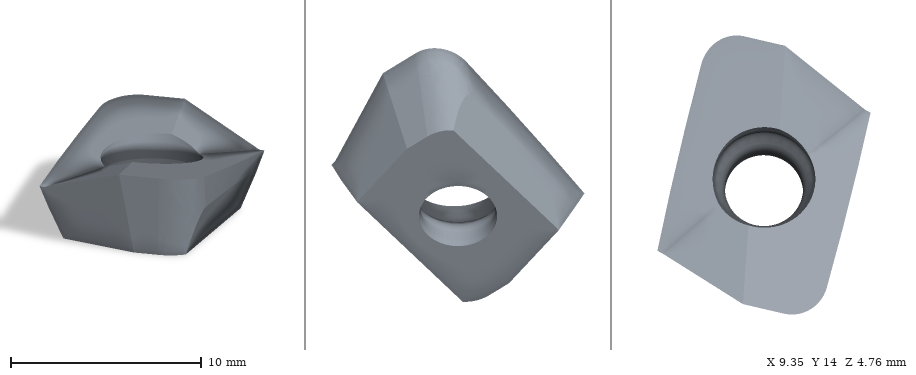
import cadquery as cq
import math

height = 4.76
relief = math.tan(math.radians(20.0))

base_tip = (-3.63, -4.06)
base_nose = (0.83, -5.26)
base_corner = (4.33, -5.21)
base_radius = 2.02

top_nose = (0.6, -7.0)
top_corner = (4.62, -6.96)
top_radius = 1.9
top_tip_x = -5.07
end_slope = (base_tip[1] - base_nose[1]) / (base_tip[0] - base_nose[0])
top_tip = (top_tip_x, top_nose[1] + end_slope * (top_tip_x - top_nose[0]))

side_half_width = 3.51

rake_slope = 0.145
rake_end = 7.0

facet_slope_x = -0.325
facet_slope_y = 0.087

bore_radius = 2.06
bore_top = 1.32
seat_radius = 2.24
seat_z = 2.02
counterbore_radius = 2.7
counterbore_floor = 2.75

block_size = 42.0


def half_turn(point):
    return (-point[0], -point[1])


def toward(start, end, distance):
    """Point at a distance from start on the way to end."""
    share = distance / math.dist(start, end)
    return (start[0] + share * (end[0] - start[0]), start[1] + share * (end[1] - start[1]))


def corner_arc(before, corner, after, radius):
    """Start, middle and end of the arc that rounds a corner."""
    angle_in = math.atan2(before[1] - corner[1], before[0] - corner[0])
    angle_out = math.atan2(after[1] - corner[1], after[0] - corner[0])
    half_angle = (angle_out - angle_in) % math.tau / 2
    half_angle = min(half_angle, math.pi - half_angle)
    start = toward(corner, before, radius / math.tan(half_angle))
    end = toward(corner, after, radius / math.tan(half_angle))
    chord_middle = ((start[0] + end[0]) / 2, (start[1] + end[1]) / 2)
    middle = toward(corner, chord_middle, radius / math.sin(half_angle) - radius)
    return start, middle, end


def outline(work, tip, nose, corner, radius):
    """Closed outline made of one half and its half-turn copy."""
    start, middle, end = corner_arc(nose, corner, half_turn(tip), radius)
    work = work.moveTo(*tip)
    work = work.lineTo(*nose).lineTo(*start).threePointArc(middle, end)
    work = work.lineTo(*half_turn(tip)).lineTo(*half_turn(nose)).lineTo(*half_turn(start))
    return work.threePointArc(half_turn(middle), half_turn(end)).close()


def flared_body():
    base = outline(cq.Workplane("XY"), base_tip, base_nose, base_corner, base_radius)
    level = base.workplane(offset=height)
    return outline(level, top_tip, top_nose, top_corner, top_radius).loft(ruled=True)


def side_facets():
    """Prism along Y whose sloping sides are the lower side facets."""
    top_half_width = side_half_width + relief * height
    profile = [
        (-side_half_width, 0),
        (side_half_width, 0),
        (top_half_width, height),
        (-top_half_width, height),
    ]
    return cq.Workplane("XZ").polyline(profile).close().extrude(block_size, both=True)


def above_plane(point, slope_x, slope_y):
    """Large block resting on a plane through a point."""
    plane = cq.Plane(origin=point, xDir=(1, 0, slope_x), normal=(-slope_x, -slope_y, 1))
    return cq.Workplane(plane).rect(block_size, block_size).extrude(block_size)


def rake_cutter():
    """Space above the rake faces: what lies above both halves of the top at once."""
    over_rake = above_plane((0, rake_end, height), 0, rake_slope)
    over_facet = above_plane((*half_turn(top_nose), height), facet_slope_x, facet_slope_y)
    over_half = over_rake.union(over_facet)
    return over_half.intersect(over_half.rotate((0, 0, 0), (0, 0, 1), 180))


def screw_hole():
    blend_angle = 2 * math.atan2(seat_radius - bore_radius, seat_z - bore_top)
    blend_radius = (seat_z - bore_top) / math.sin(blend_angle)
    blend_middle = (
        bore_radius + blend_radius * (1 - math.cos(blend_angle / 2)),
        bore_top + blend_radius * math.sin(blend_angle / 2),
    )
    return (
        cq.Workplane("XZ")
        .moveTo(0, 0)
        .lineTo(bore_radius, 0)
        .lineTo(bore_radius, bore_top)
        .threePointArc(blend_middle, (seat_radius, seat_z))
        .lineTo(counterbore_radius, counterbore_floor)
        .lineTo(counterbore_radius, height)
        .lineTo(0, height)
        .close()
        .revolve(360, (0, 0, 0), (0, 1, 0))
    )


body = flared_body().intersect(side_facets())
result = body.cut(rake_cutter()).cut(screw_hole())